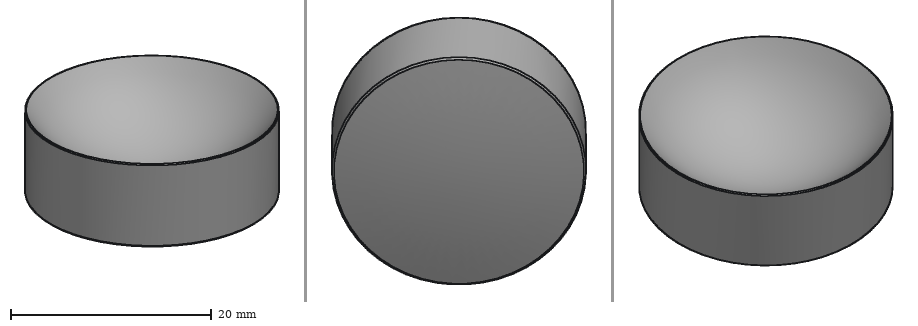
import cadquery as cq
import math

diameter = 25.4
height = 10.41
convex_sag = 1.2
concave_sag = 6.35
convex_bevel = 0.2
concave_bevel = 0.13

radius = diameter / 2
convex_edge = radius - convex_bevel
concave_edge = radius - concave_bevel


def cap_midpoint(edge_radius, sag):
    """Radius and height above the cap's apex of a point halfway out on a spherical cap."""
    sphere_radius = (edge_radius**2 + sag**2) / (2 * sag)
    mid_radius = edge_radius / 2
    rise = sphere_radius - math.sqrt(sphere_radius**2 - mid_radius**2)
    return mid_radius, rise


convex_mid_radius, convex_mid_rise = cap_midpoint(convex_edge, convex_sag)
concave_mid_radius, concave_mid_rise = cap_midpoint(concave_edge, concave_sag)
concave_apex = height - concave_sag

half_section = (
    cq.Workplane("XZ")
    .moveTo(0, 0)
    .threePointArc((convex_mid_radius, convex_mid_rise), (convex_edge, convex_sag))
    .lineTo(radius, convex_sag + convex_bevel)
    .lineTo(radius, height - concave_bevel)
    .lineTo(concave_edge, height)
    .threePointArc((concave_mid_radius, concave_apex + concave_mid_rise), (0, concave_apex))
    .close()
)

result = half_section.revolve(360, (0, 0, 0), (0, 1, 0))